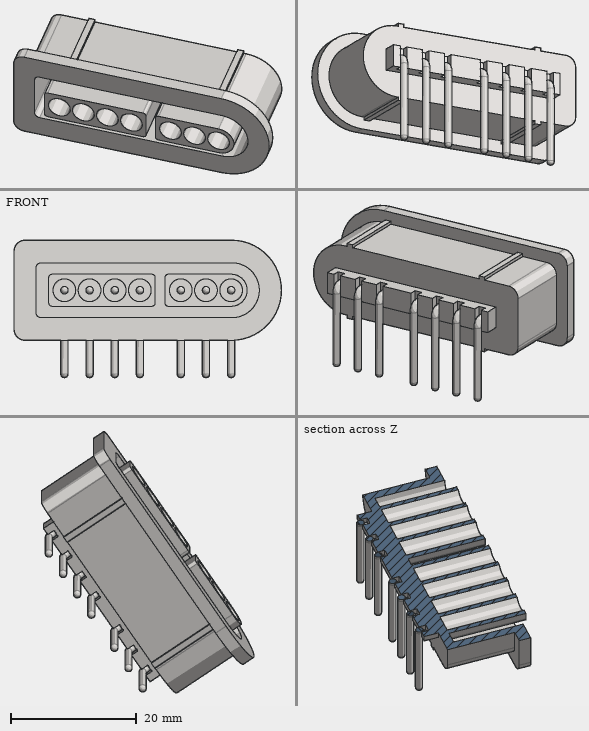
import cadquery as cq


flange_length = 42.6
flange_height = 15.98
flange_thickness = 2.0
corner_radius = 1.8
shell_inset = 2.05
shell_height = flange_height - 2 * shell_inset
shell_depth = 11.4
shell_back_y = flange_thickness + shell_depth

rib_left_edges = (8.4, 33.2)
rib_width = 1.02
rib_height = 0.5

cavity_left = 3.5
cavity_right = 39.05
cavity_height = 8.75
cavity_corner_radius = 0.85
back_wall = 1.6
cavity_floor_y = shell_back_y - back_wall

pin_diameter = 1.2
pin_radius = pin_diameter / 2
pin_pitch = 4.0
pin_span = 26.55
first_group_count = 4
second_group_count = 3
first_group_x = (flange_length - pin_span) / 2
second_group_x = first_group_x + pin_span - (second_group_count - 1) * pin_pitch
first_group = [first_group_x + i * pin_pitch for i in range(first_group_count)]
second_group = [second_group_x + i * pin_pitch for i in range(second_group_count)]
pin_xs = first_group + second_group
bend_radius = 1.2
pin_back_overhang = 0.75
pin_drop = 13.95
pin_bottom_z = -pin_drop
pin_tip_recess = 2.0

socket_projection = 1.28
socket_height = 5.1
socket_corner_radius = 0.55
socket_front_y = -socket_projection
four_way_left = 5.55
four_way_right = 22.5
three_way_left = 24.03
three_way_right = second_group[-1] + socket_height / 2
socket_hole_diameter = 3.6

bar_left = 6.2
bar_right = 36.42
bar_height = 3.58
bar_depth = 2.43
bar_back_y = shell_back_y + bar_depth
slot_depth = 1.2
slot_front_y = bar_back_y - slot_depth
tail_y = bar_back_y + pin_back_overhang - pin_radius


def box(x_start, x_end, y_start, y_end, height):
    """Block between two X and two Y values, centred on Z = 0."""
    block = cq.Workplane("XY").box(x_end - x_start, y_end - y_start, height, centered=(False, False, True))
    return block.translate((x_start, y_start, 0))


def d_shape(x_start, x_end, y_start, y_end, height, radius):
    """D-shaped prism along Y, with a half circle at the +X end and rounded corners at the other."""
    half = height / 2
    arc_x = x_end - half
    outline = (
        cq.Workplane("XZ", origin=(0, y_start, 0))
        .moveTo(x_start, -half)
        .lineTo(arc_x, -half)
        .threePointArc((x_end, 0), (arc_x, half))
        .lineTo(x_start, half)
        .close()
    )
    return outline.extrude(y_start - y_end).edges("|Y and <X").fillet(radius)


def cylinder_along_y(x, y_start, y_end, diameter):
    return cq.Workplane("XZ", origin=(x, y_start, 0)).circle(diameter / 2).extrude(y_start - y_end)


def make_shell():
    flange = d_shape(0, flange_length, 0, flange_thickness, flange_height, corner_radius)
    shell_right = flange_length - shell_inset
    shell = d_shape(shell_inset, shell_right, flange_thickness, shell_back_y, shell_height, corner_radius)
    ribs_height = shell_height + 2 * rib_height
    for left in rib_left_edges:
        shell = shell.union(box(left, left + rib_width, flange_thickness, shell_back_y, ribs_height))
    cavity = d_shape(cavity_left, cavity_right, 0, cavity_floor_y, cavity_height, cavity_corner_radius)
    return flange.union(shell).cut(cavity)


def make_sockets():
    four_way = box(four_way_left, four_way_right, socket_front_y, cavity_floor_y, socket_height)
    four_way = four_way.edges("|Y").fillet(socket_corner_radius)
    three_way = d_shape(
        three_way_left, three_way_right, socket_front_y, cavity_floor_y, socket_height, socket_corner_radius
    )
    return four_way.union(three_way)


def make_housing():
    """Shell, sockets and bar in one piece, with a socket hole, a bore and a slot for every pin."""
    bar = box(bar_left, bar_right, shell_back_y, bar_back_y, bar_height)
    housing = make_shell().union(make_sockets()).union(bar)
    for x in pin_xs:
        housing = housing.cut(cylinder_along_y(x, socket_front_y, cavity_floor_y, socket_hole_diameter))
        housing = housing.cut(cylinder_along_y(x, cavity_floor_y, bar_back_y, pin_diameter))
        housing = housing.cut(box(x - pin_radius, x + pin_radius, slot_front_y, bar_back_y, bar_height))
    return housing.solids().val()


def make_pin(x):
    """Bent round wire with a half ball at each end."""
    front_y = socket_front_y + pin_tip_recess + pin_radius
    tail_z = pin_bottom_z + pin_radius
    bend_y = tail_y - bend_radius
    path = (
        cq.Workplane("YZ", origin=(x, 0, 0))
        .moveTo(front_y, 0)
        .lineTo(bend_y, 0)
        .tangentArcPoint((tail_y, -bend_radius), relative=False)
        .lineTo(tail_y, tail_z)
    )
    wire = cq.Workplane("XZ", origin=(x, front_y, 0)).circle(pin_radius).sweep(path)
    front_ball = cq.Workplane("XZ", origin=(x, front_y, 0)).sphere(pin_radius)
    tail_ball = cq.Workplane("XY", origin=(x, tail_y, tail_z)).sphere(pin_radius)
    return wire.union(front_ball).union(tail_ball).solids().val()


housing = make_housing()
pins = [make_pin(x) for x in pin_xs]
result = cq.Compound.makeCompound([housing, *pins])